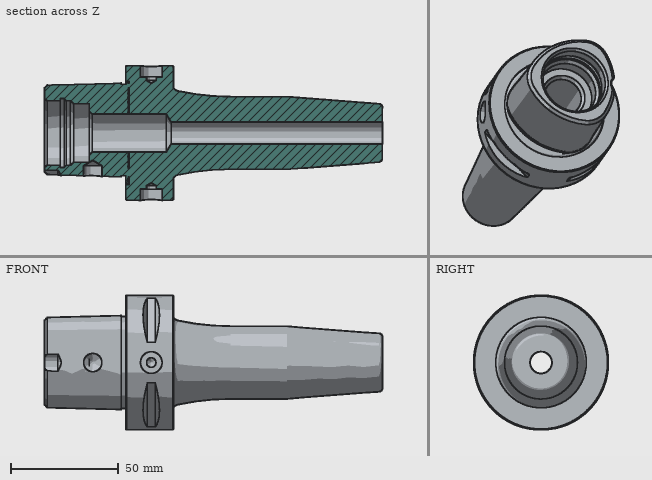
import cadquery as cq
import math

TOTAL_LENGTH = 158.0
FLANGE_DIAMETER = 63.0
FLANGE_RADIUS = FLANGE_DIAMETER / 2
FLANGE_START = 37.9
FLANGE_LENGTH = 22.5
FLANGE_END = FLANGE_START + FLANGE_LENGTH
FLANGE_CHAMFER = 0.5

LOBE_CENTER_OFFSET = 10.6
WIDTH_AT_FLANGE = 44.1
LOBE_RADIUS_AT_FLANGE = (WIDTH_AT_FLANGE - LOBE_CENTER_OFFSET * math.sqrt(3)) / 2
TAPER_PER_LENGTH = 1 / 40
TAPER_END = 35.9
TIP_CHAMFER = 1.5
NECK_RELIEF = 0.5

FACE_GROOVE_OUTER_RADIUS = 24.0
FACE_GROOVE_INNER_RADIUS = 22.5

SHANK_RADIUS = 17.0
SHANK_ROOT_RADIUS = 21.2
SHANK_ROOT_LENGTH = 1.9
SWEEP_ROOT_RADIUS = 19.8
SWEEP_END = 86.9
CONE_START = 113.3
NOSE_RADIUS = 13.6
NOSE_FILLET = 1.9

MOUTH_RADIUS = 16.1
MOUTH_CHAMFER_LENGTH = 1.3
CLAMP_BORE_RADIUS = 15.0
CLAMP_BORE_DEPTH = 12.2
CLAMP_GROOVE_START = 7.5
CLAMP_GROOVE_WIDTH = 2.8
CLAMP_GROOVE_FLOOR_WIDTH = 1.7
INNER_BORE_RADIUS = 13.6
INNER_BORE_START = 13.7
INNER_BORE_DEPTH = 20.9
COUNTERSINK_RADIUS = 10.3
SCREW_BORE_RADIUS = 8.8
SCREW_BORE_DEPTH = 56.9
TOOL_BORE_RADIUS = 5.0

GRIPPER_X = 50.0
GRIPPER_FLOOR_DISTANCE = 28.0
GRIPPER_FLOOR_WIDTH = 3.6
GRIPPER_WALL_ANGLE = 30

DRILL_POINT_ANGLE = 118
CHIP_HOLE_X = GRIPPER_X
CHIP_HOLE_RADIUS = 5.0
CHIP_HOLE_FLOOR = 26.2
PILOT_RADIUS = 2.2
PILOT_DEPTH = 1.6
DRIVE_HOLE_X = 22.6
DRIVE_HOLE_RADIUS = 4.3
DRIVE_HOLE_SHOULDER = 15.3
TIP_NOTCH_RADIUS = 4.7
TIP_NOTCH_AXIS = 22.1
TIP_NOTCH_LENGTH = 6.3


def lobe_radius_at(x):
    return LOBE_RADIUS_AT_FLANGE - (FLANGE_START - x) * TAPER_PER_LENGTH


def lobed_section(x, lobe_radius):
    """Closed six-arc outline in the YZ plane at the given X."""
    flat_distance = lobe_radius + LOBE_CENTER_OFFSET * (math.sqrt(3) - 1)

    def on_circle(radius, degrees):
        angle = math.radians(degrees)
        return cq.Vector(radius * math.cos(angle), radius * math.sin(angle))

    def on_lobe(lobe, normal):
        point = on_circle(LOBE_CENTER_OFFSET, lobe) + on_circle(lobe_radius, normal)
        return (point.x, point.y)

    outline = cq.Workplane("YZ", origin=(x, 0, 0)).moveTo(*on_lobe(0, -30))
    for lobe in (0, 120, 240):
        flat_middle = on_circle(flat_distance, lobe + 60)
        outline = outline.threePointArc(on_lobe(lobe, lobe), on_lobe(lobe, lobe + 30))
        outline = outline.threePointArc((flat_middle.x, flat_middle.y), on_lobe(lobe + 120, lobe + 90))
    return outline.close().wire().val()


def lobed_frustum(x_start, radius_start, x_end, radius_end):
    sections = [lobed_section(x_start, radius_start), lobed_section(x_end, radius_end)]
    return cq.Workplane(cq.Solid.makeLoft(sections, True))


def revolve_about_x(profile):
    return profile.close().revolve(360, (0, 0, 0), (1, 0, 0))


def polygon_taper():
    taper = lobed_frustum(0, lobe_radius_at(0), TAPER_END, lobe_radius_at(TAPER_END))
    taper = taper.faces("<X").edges().chamfer(TIP_CHAMFER)
    neck_radius = lobe_radius_at(TAPER_END) - NECK_RELIEF
    neck = lobed_frustum(TAPER_END, neck_radius, FLANGE_END, neck_radius)
    return taper.union(neck)


def flange():
    disc = cq.Workplane("YZ", origin=(FLANGE_START, 0, 0)).circle(FLANGE_RADIUS).extrude(FLANGE_LENGTH)
    disc = disc.edges("%CIRCLE").chamfer(FLANGE_CHAMFER)
    groove_depth = FACE_GROOVE_OUTER_RADIUS - FACE_GROOVE_INNER_RADIUS
    groove_profile = (
        cq.Workplane("XY")
        .moveTo(FLANGE_START, FACE_GROOVE_INNER_RADIUS)
        .lineTo(FLANGE_START, FACE_GROOVE_OUTER_RADIUS)
        .lineTo(FLANGE_START + groove_depth, FACE_GROOVE_OUTER_RADIUS)
        .radiusArc((FLANGE_START, FACE_GROOVE_INNER_RADIUS), -groove_depth)
    )
    return disc.cut(revolve_about_x(groove_profile))


def shank():
    root_end = FLANGE_END + SHANK_ROOT_LENGTH
    profile = (
        cq.Workplane("XY")
        .moveTo(CONE_START, SHANK_RADIUS)
        .lineTo(SWEEP_END, SHANK_RADIUS)
        .tangentArcPoint((root_end, SWEEP_ROOT_RADIUS), relative=False)
        .tangentArcPoint((FLANGE_END, SHANK_ROOT_RADIUS), relative=False)
        .lineTo(FLANGE_END, 0)
        .lineTo(TOTAL_LENGTH, 0)
        .lineTo(TOTAL_LENGTH, NOSE_RADIUS)
    )
    return revolve_about_x(profile).faces(">X").edges().fillet(NOSE_FILLET)


def bore():
    cone_length = (SCREW_BORE_RADIUS - TOOL_BORE_RADIUS) / math.tan(math.radians(DRILL_POINT_ANGLE / 2))
    countersink_end = INNER_BORE_DEPTH + COUNTERSINK_RADIUS - SCREW_BORE_RADIUS
    profile = cq.Workplane("XY").polyline([
        (0, 0),
        (0, MOUTH_RADIUS),
        (MOUTH_CHAMFER_LENGTH, CLAMP_BORE_RADIUS),
        (CLAMP_GROOVE_START, CLAMP_BORE_RADIUS),
        (CLAMP_GROOVE_START, MOUTH_RADIUS),
        (CLAMP_GROOVE_START + CLAMP_GROOVE_FLOOR_WIDTH, MOUTH_RADIUS),
        (CLAMP_GROOVE_START + CLAMP_GROOVE_WIDTH, CLAMP_BORE_RADIUS),
        (CLAMP_BORE_DEPTH, CLAMP_BORE_RADIUS),
        (INNER_BORE_START, INNER_BORE_RADIUS),
        (INNER_BORE_DEPTH, INNER_BORE_RADIUS),
        (INNER_BORE_DEPTH, COUNTERSINK_RADIUS),
        (countersink_end, SCREW_BORE_RADIUS),
        (SCREW_BORE_DEPTH, SCREW_BORE_RADIUS),
        (SCREW_BORE_DEPTH + cone_length, TOOL_BORE_RADIUS),
        (TOTAL_LENGTH, TOOL_BORE_RADIUS),
        (TOTAL_LENGTH, 0),
    ])
    return revolve_about_x(profile)


def drill(radius, length):
    """Pointed drill along +Z: the cylinder spans Z = 0 to length and the point lies beyond it."""
    point_length = radius / math.tan(math.radians(DRILL_POINT_ANGLE / 2))
    half_section = [(0, 0), (radius, 0), (radius, length), (0, length + point_length)]
    profile = cq.Workplane("XZ").polyline(half_section)
    return profile.close().revolve(360, (0, 0, 0), (0, 1, 0))


def radial_drill(x, radius, shoulder_distance):
    """Drill entering from -Y whose cylindrical part stops at the given distance from the axis."""
    tool = drill(radius, FLANGE_RADIUS - shoulder_distance)
    return tool.rotate((0, 0, 0), (1, 0, 0), -90).translate((x, -FLANGE_RADIUS, 0))


def chip_hole():
    pocket = (
        cq.Workplane("XZ", origin=(CHIP_HOLE_X, -CHIP_HOLE_FLOOR, 0))
        .circle(CHIP_HOLE_RADIUS)
        .extrude(FLANGE_RADIUS - CHIP_HOLE_FLOOR)
    )
    return pocket.union(radial_drill(CHIP_HOLE_X, PILOT_RADIUS, CHIP_HOLE_FLOOR - PILOT_DEPTH))


def tip_notch():
    notch = drill(TIP_NOTCH_RADIUS, TIP_NOTCH_LENGTH)
    return notch.rotate((0, 0, 0), (0, 1, 0), 90).translate((0, -TIP_NOTCH_AXIS, 0))


def gripper_groove(angle):
    """Straight trapezoidal groove tangent to the flange, centred at an angle from +Y about X."""
    depth = FLANGE_RADIUS - GRIPPER_FLOOR_DISTANCE
    half_floor = GRIPPER_FLOOR_WIDTH / 2
    half_mouth = half_floor + depth * math.tan(math.radians(GRIPPER_WALL_ANGLE))
    groove = (
        cq.Workplane("XY")
        .polyline([
            (GRIPPER_X - half_floor, GRIPPER_FLOOR_DISTANCE),
            (GRIPPER_X + half_floor, GRIPPER_FLOOR_DISTANCE),
            (GRIPPER_X + half_mouth, FLANGE_RADIUS),
            (GRIPPER_X - half_mouth, FLANGE_RADIUS),
        ])
        .close()
        .extrude(FLANGE_RADIUS, both=True)
    )
    return groove.rotate((0, 0, 0), (1, 0, 0), angle)


result = polygon_taper().union(flange()).union(shank()).cut(bore())
for groove_angle in (45, 135, 225, 315):
    result = result.cut(gripper_groove(groove_angle))
result = result.cut(chip_hole()).cut(chip_hole().mirror("XZ"))
result = result.cut(radial_drill(DRIVE_HOLE_X, DRIVE_HOLE_RADIUS, DRIVE_HOLE_SHOULDER))
result = result.cut(tip_notch())